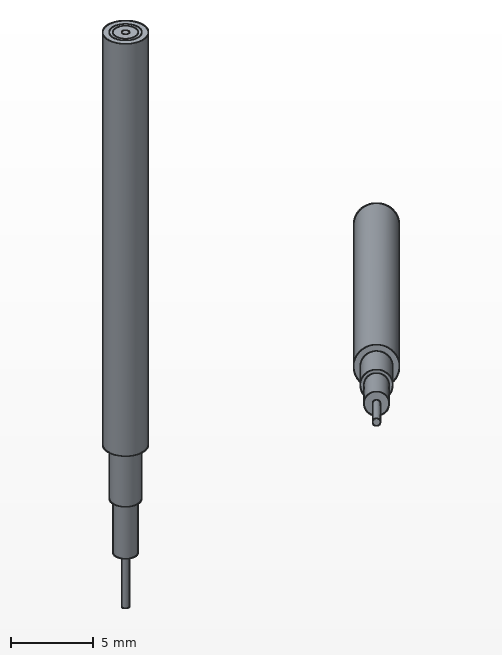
import cadquery as cq

CABLE_LENGTH = 40.4
CONDUCTOR_DIAMETER = 0.5
INSULATION_DIAMETER = 1.55
SHIELD_DIAMETER = 1.98
JACKET_DIAMETER = 2.8

STRIP_STEP = 3.8
INSULATION_BOTTOM = STRIP_STEP
SHIELD_BOTTOM = 2 * STRIP_STEP
JACKET_BOTTOM = 3 * STRIP_STEP


def cylinder(diameter, bottom):
    """Solid cylinder from the given height up to the top of the cable."""
    return (
        cq.Workplane("XY")
        .workplane(offset=bottom)
        .circle(diameter / 2)
        .extrude(CABLE_LENGTH - bottom)
    )


def sleeve(outer_diameter, inner_diameter, bottom):
    """Cable layer that fits closely around the layer inside it."""
    return cylinder(outer_diameter, bottom).cut(cylinder(inner_diameter, bottom))


conductor = cylinder(CONDUCTOR_DIAMETER, 0)
insulation = sleeve(INSULATION_DIAMETER, CONDUCTOR_DIAMETER, INSULATION_BOTTOM)
shield = sleeve(SHIELD_DIAMETER, INSULATION_DIAMETER, SHIELD_BOTTOM)
jacket = sleeve(JACKET_DIAMETER, SHIELD_DIAMETER, JACKET_BOTTOM)

result = cq.Compound.makeCompound(
    [conductor.val(), insulation.val(), shield.val(), jacket.val()]
)